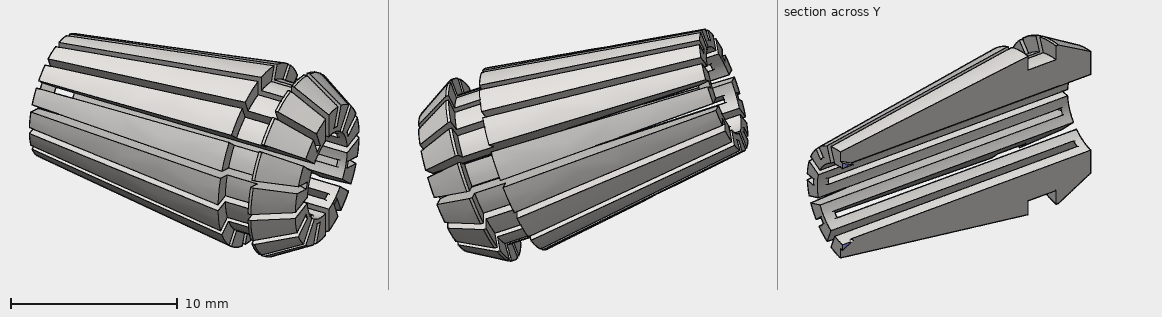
import cadquery as cq
import math

length = 18.0
outer_radius = 11.5 / 2
bore_radius = 5.5 / 2

taper_angle = 8.0
taper_length = 13.5
groove_width = 2.0
groove_radius = 9.5 / 2
collar_land = 0.18
collar_angle = 30.0

slots_per_set = 8
slot_width = 0.45
slot_pitch = 360.0 / slots_per_set
web_ramp_angle = 28.0
nose_web_radius = 3.17
rear_web_radius = 3.05
overshoot = 1.0


def drop(run, angle):
    """Radius lost along an axial run of a cone with the given half angle."""
    return run * math.tan(math.radians(angle))


def make_body():
    """Revolve the half section of the unslotted collet about the X axis."""
    nose_radius = outer_radius - drop(taper_length, taper_angle)
    collar_start = taper_length + groove_width
    chamfer_start = collar_start + collar_land
    rear_radius = outer_radius - drop(length - chamfer_start, collar_angle)
    section = [
        (0, bore_radius),
        (0, nose_radius),
        (taper_length, outer_radius),
        (taper_length, groove_radius),
        (collar_start, groove_radius),
        (collar_start, outer_radius),
        (chamfer_start, outer_radius),
        (length, rear_radius),
        (length, bore_radius),
    ]
    return (
        cq.Workplane("XY")
        .polyline(section)
        .close()
        .revolve(360, (0, 0, 0), (1, 0, 0))
    )


def make_slot(web_radius):
    """Slot with a ramped floor at X = 0: from web_radius there down past the bore, then open."""
    floor_slope = math.tan(math.radians(web_ramp_angle))
    inner = bore_radius - overshoot
    top = outer_radius + overshoot
    profile = [
        (-overshoot, web_radius + overshoot * floor_slope),
        ((web_radius - inner) / floor_slope, inner),
        (length + overshoot, inner),
        (length + overshoot, top),
        (-overshoot, top),
    ]
    return cq.Workplane("XZ").polyline(profile).close().extrude(slot_width / 2, both=True)


def make_rear_slot():
    """Slot through to the bore at the rear, leaving its web at the nose."""
    return make_slot(nose_web_radius)


def make_nose_slot():
    """Slot through to the bore at the nose, leaving its web at the rear."""
    return make_slot(rear_web_radius).mirror("YZ").translate((length, 0, 0))


def cut_slots(body, slot, start_angle):
    """Cut one set of equally spaced slots around the X axis."""
    for index in range(slots_per_set):
        angle = start_angle + index * slot_pitch
        body = body.cut(slot.rotate((0, 0, 0), (1, 0, 0), angle))
    return body


result = make_body()
result = cut_slots(result, make_rear_slot(), 0)
result = cut_slots(result, make_nose_slot(), slot_pitch / 2)